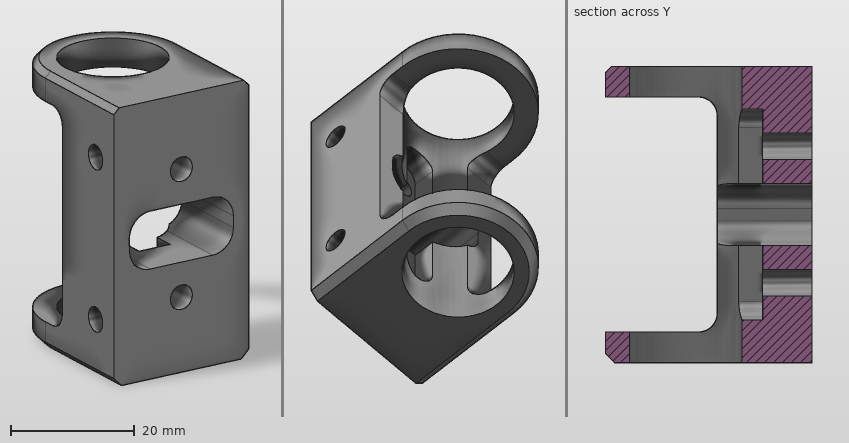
import cadquery as cq
import math

height = 48.0
width = 26.0
length = 33.5
end_radius = width / 2
back_x = length - end_radius
top_chamfer = 1.0
bottom_chamfer = 1.5

bore_diameter = 18.2
ring_thickness = 5.0
gap_face_x = 5.1
gap_fillet = 3.0

window_width = 20.0
window_height = 10.0
window_radius = 4.0

recess_width = 5.95
recess_height = 34.1
recess_floor_x = 12.5
hole_diameter = 4.2
back_hole_spacing = 22.1

side_hole_x = 15.0
side_hole_spacing = 28.0
side_hole_depth = 8.0
drill_tip_angle = 118.0

mid_z = height / 2


def make_body():
    """Block with one semicircular end and chamfers along the round and side edges."""
    body = (
        cq.Workplane("XY")
        .moveTo(back_x, -end_radius)
        .lineTo(0, -end_radius)
        .threePointArc((-end_radius, 0), (0, end_radius))
        .lineTo(back_x, end_radius)
        .close()
        .extrude(height)
    )
    body = body.faces(">Z").edges("not |Y").chamfer(top_chamfer)
    return body.faces("<Z").edges("not |Y").chamfer(bottom_chamfer)


def make_gap():
    """Opening between the rings, running across the whole width."""
    gap_length = end_radius + gap_face_x
    return (
        cq.Workplane("XY")
        .box(gap_length, width, height - 2 * ring_thickness, centered=(False, True, False))
        .edges("|Y and >X")
        .fillet(gap_fillet)
        .translate((-end_radius, 0, ring_thickness))
    )


def make_window():
    return (
        cq.Workplane("XY")
        .box(back_x, window_width, window_height, centered=(False, True, True))
        .edges("|X")
        .fillet(window_radius)
        .translate((0, 0, mid_z))
    )


def make_recess():
    return (
        cq.Workplane("YZ")
        .center(0, mid_z)
        .slot2D(recess_height, recess_width, 90)
        .extrude(recess_floor_x)
    )


def make_back_holes():
    half_spacing = back_hole_spacing / 2
    return (
        cq.Workplane("YZ")
        .center(0, mid_z)
        .pushPoints([(0, -half_spacing), (0, half_spacing)])
        .circle(hole_diameter / 2)
        .extrude(back_x)
    )


def make_side_hole(side, z):
    """Drilled hole with a conical tip, entering from the face at side * end_radius."""
    radius = hole_diameter / 2
    tip_length = radius / math.tan(math.radians(drill_tip_angle / 2))
    shoulder_y = side * (end_radius - side_hole_depth)
    tip_y = shoulder_y - side * tip_length
    return (
        cq.Workplane("XY")
        .moveTo(0, side * end_radius)
        .lineTo(radius, side * end_radius)
        .lineTo(radius, shoulder_y)
        .lineTo(0, tip_y)
        .close()
        .revolve(360, (0, 0, 0), (0, 1, 0))
        .translate((side_hole_x, 0, z))
    )


bore = cq.Workplane("XY").circle(bore_diameter / 2).extrude(height)

result = make_body().cut(bore).cut(make_gap()).cut(make_window())
result = result.cut(make_recess()).cut(make_back_holes())
for side in (-1, 1):
    for direction in (-1, 1):
        result = result.cut(make_side_hole(side, mid_z + direction * side_hole_spacing / 2))